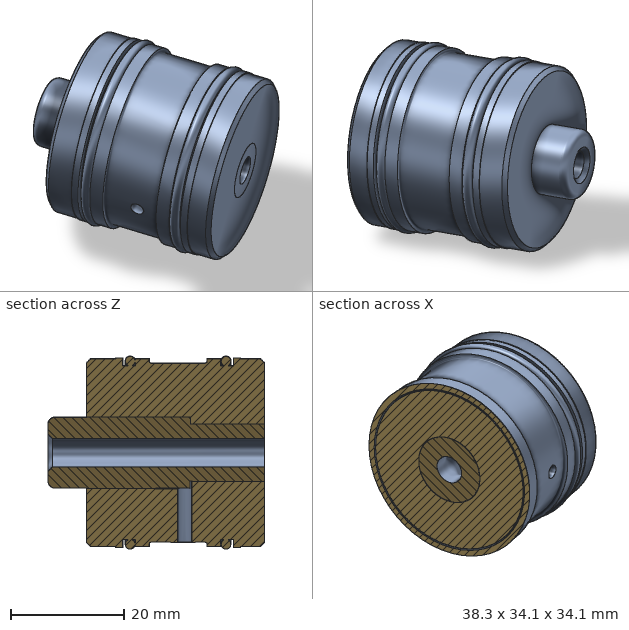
import cadquery as cq


housing_length = 31.45
housing_radius = 16.6
rim_chamfer = 0.75
cut_margin = 1.0
mid_x = 16.18

waist_radius = 15.83
waist_half_length = 5.08
waist_fillet = 0.38

seal_inner_offset = 7.56
groove_end_offset = 9.76
backup_end_offset = 11.04
groove_radius = 15.38
backup_radius = 16.75
round_ring_section_radius = 0.89
round_ring_outer_radius = 17.055
round_ring_centre_radius = round_ring_outer_radius - round_ring_section_radius
round_ring_offset = seal_inner_offset + round_ring_section_radius

port_radius = 1.2
port_x = 17.35

plunger_radius = 6.3
plunger_projection = 6.8
nose_fillet = 1.3
tail_radius = 5.0
shoulder_x = 18.3
bore_radius = 2.5
bore_mouth_radius = 3.28
bore_mouth_lip = 0.12
cone_mouth_radius = 3.18
bore_cone_length = 0.68


def cylinder(radius, start, end):
    """Solid cylinder along X from start to end."""
    return cq.Workplane("YZ", origin=(start, 0, 0)).circle(radius).extrude(end - start)


def tube(outer_radius, inner_radius, start, end):
    """Hollow cylinder along X from start to end."""
    return cylinder(outer_radius, start, end).cut(cylinder(inner_radius, start, end))


def make_plunger():
    """Stepped plunger with a rounded nose and a bore right through."""
    nose_x = -plunger_projection
    body = cylinder(plunger_radius, nose_x, shoulder_x).faces("<X").edges().fillet(nose_fillet)
    body = body.union(cylinder(tail_radius, shoulder_x, housing_length))
    body = body.cut(cylinder(bore_radius, nose_x, housing_length))
    cone_start_x = nose_x + bore_mouth_lip
    mouth = (
        cq.Workplane("XY")
        .moveTo(nose_x, 0)
        .lineTo(nose_x, bore_mouth_radius)
        .lineTo(cone_start_x, cone_mouth_radius)
        .lineTo(cone_start_x + bore_cone_length, bore_radius)
        .lineTo(cone_start_x + bore_cone_length, 0)
        .close()
        .revolve(360, (0, 0, 0), (1, 0, 0))
    )
    return body.cut(mouth)


def make_waist_cutter():
    """Ring that cuts the waist, with filleted corners at its floor."""
    left = mid_x - waist_half_length
    right = mid_x + waist_half_length
    outside = housing_radius + cut_margin
    corner_radius = waist_radius + waist_fillet
    floor_left = left + waist_fillet
    floor_right = right - waist_fillet
    return (
        cq.Workplane("XY")
        .moveTo(left, outside)
        .lineTo(left, corner_radius)
        .radiusArc((floor_left, waist_radius), -waist_fillet)
        .lineTo(floor_right, waist_radius)
        .radiusArc((right, corner_radius), -waist_fillet)
        .lineTo(right, outside)
        .close()
        .revolve(360, (0, 0, 0), (1, 0, 0))
    )


def add_seal(body, side):
    """Cut one seal groove and add its backup ring and round ring; side is -1 or 1."""

    def span(offset_a, offset_b):
        return sorted((mid_x + side * offset_a, mid_x + side * offset_b))

    groove_cut_radius = housing_radius + cut_margin
    groove = tube(groove_cut_radius, groove_radius, *span(seal_inner_offset, groove_end_offset))
    backup_ring = tube(backup_radius, groove_radius, *span(groove_end_offset, backup_end_offset))
    round_ring = (
        cq.Workplane("XY")
        .center(mid_x + side * round_ring_offset, round_ring_centre_radius)
        .circle(round_ring_section_radius)
        .revolve(360, (0, -round_ring_centre_radius, 0), (1, -round_ring_centre_radius, 0))
    )
    return body.cut(groove).union(backup_ring).union(round_ring)


def make_housing():
    """Housing with its integral seal rings, a waist, a port and a seat for the plunger."""
    body = cylinder(housing_radius, 0, housing_length)
    body = body.faces("<X or >X").edges().chamfer(rim_chamfer)
    body = body.cut(make_waist_cutter())
    for side in (-1, 1):
        body = add_seal(body, side)
    port = cq.Workplane("XZ", origin=(port_x, 0, 0)).circle(port_radius).extrude(housing_radius)
    body = body.cut(port)
    body = body.cut(cylinder(plunger_radius, 0, shoulder_x))
    return body.cut(cylinder(tail_radius, shoulder_x, housing_length))


plunger = make_plunger()
housing = make_housing()

result = cq.Compound.makeCompound([housing.solids().val(), plunger.solids().val()])